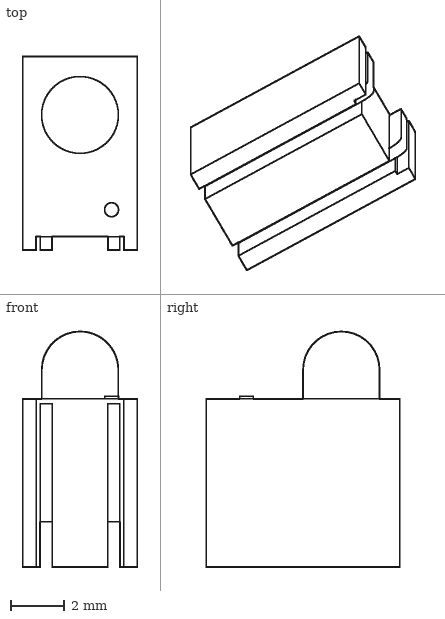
import cadquery as cq

width = 4.32
depth = 7.3
total_height = 8.89
housing_height = 6.35

side_wall = 0.51
recess_depth = 0.51

lead_spacing = 2.56
lead_width = 0.45
lead_top_gap = 0.19
lead_bottom = 1.71
lead_bend_radius = 0.5

lens_radius = 1.45
lens_to_back = 2.205

mark_diameter = 0.525
mark_height = 0.1
mark_x = 1.19
mark_y = 1.52


def box(size_x, size_y, size_z, x, y, z):
    """Box centred on x, with its front face at y and its base at z."""
    return (
        cq.Workplane("XY")
        .box(size_x, size_y, size_z, centered=(True, False, False))
        .translate((x, y, z))
    )


def make_housing():
    block = box(width, depth, housing_height, 0, 0, 0)
    recess = box(width - 2 * side_wall, recess_depth, housing_height, 0, 0, 0)
    return block.cut(recess)


def make_lead(x):
    """Upright bar filling the recess depth, rounded at its lower front edge."""
    lead_height = housing_height - lead_top_gap - lead_bottom
    bar = box(lead_width, recess_depth, lead_height, x, 0, lead_bottom)
    return bar.edges("|X and <Y and <Z").fillet(lead_bend_radius)


def make_slot(x):
    """Slot below a lead, running through the housing from front to back."""
    return box(lead_width, depth, lead_bottom, x, 0, 0)


def make_lens():
    """Cylinder topped by a hemisphere of the same radius."""
    cylinder_top = total_height - lens_radius
    profile = (
        cq.Workplane("XZ")
        .moveTo(0, housing_height)
        .lineTo(lens_radius, housing_height)
        .lineTo(lens_radius, cylinder_top)
        .radiusArc((0, total_height), -lens_radius)
        .close()
    )
    lens = profile.revolve(360, (0, 0, 0), (0, 1, 0))
    return lens.translate((0, depth - lens_to_back, 0))


def make_mark():
    return (
        cq.Workplane("XY", origin=(mark_x, mark_y, housing_height))
        .circle(mark_diameter / 2)
        .extrude(mark_height)
    )


result = make_housing().union(make_lens()).union(make_mark())
for lead_x in (-lead_spacing / 2, lead_spacing / 2):
    result = result.cut(make_slot(lead_x)).union(make_lead(lead_x))